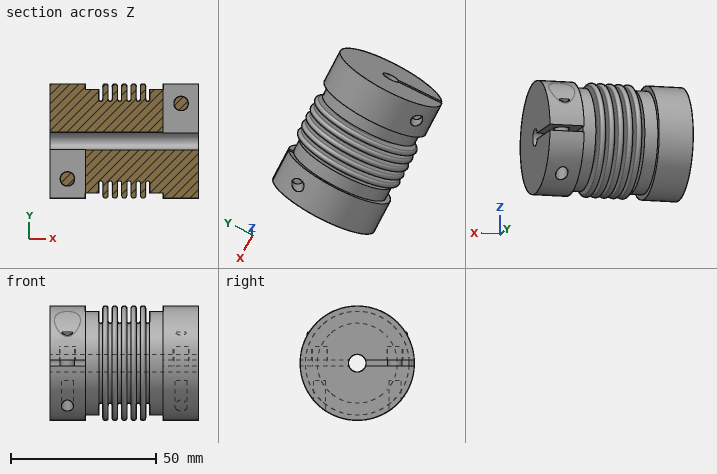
import cadquery as cq

total_length = 51.2
outer_radius = 39.5 / 2
bore_diameter = 6.0

hub_length = 12.2
neck_length = 4.65
neck_radius = 35.8 / 2
slot_width = 2.1

ring_count = 5
ring_thickness = 1.9
root_radius = 13.8
bellows_length = total_length - 2 * (hub_length + neck_length)
gap_width = (bellows_length - ring_count * ring_thickness) / (ring_count + 1)
ring_pitch = ring_thickness + gap_width

screw_offset = 13.0
screw_inset = 6.0
shank_diameter = 5.0
clearance_diameter = 5.5
thread_diameter = 4.2
head_diameter = 8.5
head_height = 5.0
head_edge_radius = 0.65
head_top = 10.8
head_seat = head_top - head_height
plug_diameter = 9.0
shank_end = -6.0

hub_outer_x = -total_length / 2
hub_inner_x = hub_outer_x + hub_length
screw_x = hub_outer_x + screw_inset


def disc(radius, start_x, length):
    """Solid cylinder on the X axis, with its seam line turned to the -Y side."""
    cylinder = cq.Workplane("YZ", origin=(start_x, 0, 0)).circle(radius).extrude(length)
    return cylinder.rotate((0, 0, 0), (1, 0, 0), 180)


def screw_cylinder(diameter, bottom_z, top_z):
    """Solid cylinder on the axis of the clamping screw."""
    plane = cq.Workplane("XY", origin=(screw_x, -screw_offset, bottom_z))
    return plane.circle(diameter / 2).extrude(top_z - bottom_z)


def make_bellows():
    """Rings with full-round crests, separated by full-round root grooves."""
    crest_round = ring_thickness / 2
    root_round = gap_width / 2
    crest_shoulder = outer_radius - crest_round
    root_shoulder = root_radius + root_round
    x = -bellows_length / 2
    profile = cq.Workplane("XY").moveTo(x, 0).lineTo(x, root_shoulder)
    for _ in range(ring_count):
        ring_start = x + gap_width
        ring_end = x + ring_pitch
        profile = (
            profile.threePointArc((x + root_round, root_radius), (ring_start, root_shoulder))
            .lineTo(ring_start, crest_shoulder)
            .threePointArc((ring_start + crest_round, outer_radius), (ring_end, crest_shoulder))
            .lineTo(ring_end, root_shoulder)
        )
        x = ring_end
    end_x = bellows_length / 2
    profile = profile.threePointArc((x + root_round, root_radius), (end_x, root_shoulder))
    return profile.lineTo(end_x, 0).close().revolve(360, (0, 0, 0), (1, 0, 0))


def make_screw():
    """Cap screw whose head edge stands slightly proud of the hub."""
    head = screw_cylinder(head_diameter, head_seat, head_top).faces(">Z").fillet(head_edge_radius)
    return head.union(screw_cylinder(shank_diameter, shank_end, head_seat))


def make_hub():
    """Slotted hub on the -X end with its neck, clamping screw and flush plug over the head."""
    body = disc(outer_radius, hub_outer_x, hub_length)
    slot_corner = cq.Workplane("XY", origin=(hub_outer_x, -outer_radius, 0))
    slot = slot_corner.box(hub_length, outer_radius, slot_width, centered=(False, False, True))
    plug = screw_cylinder(plug_diameter, head_seat, outer_radius).intersect(body)
    hub = (
        body.cut(slot)
        .cut(screw_cylinder(thread_diameter, -outer_radius, 0))
        .cut(screw_cylinder(clearance_diameter, 0, head_seat))
        .cut(screw_cylinder(plug_diameter, head_seat, outer_radius))
        .union(disc(neck_radius, hub_inner_x, neck_length))
        .union(make_screw())
    )
    return hub.union(plug, clean=False)


left_hub = make_hub()
right_hub = left_hub.rotate((0, 0, 0), (0, 0, 1), 180)
bore = disc(bore_diameter / 2, hub_outer_x, total_length)

coupling = make_bellows().union(left_hub, clean=False).union(right_hub, clean=False)
result = coupling.cut(bore, clean=False)